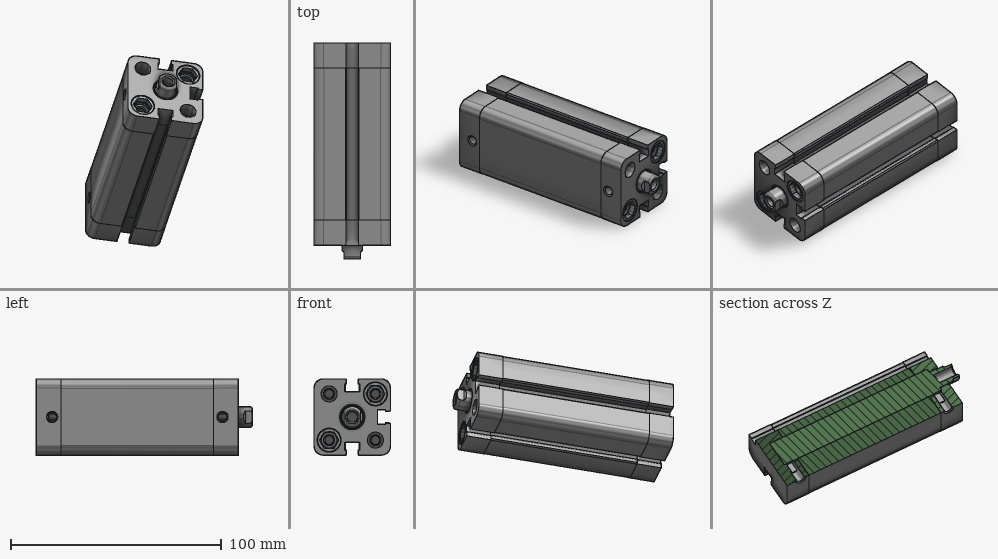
import cadquery as cq
import math

TOTAL_LENGTH = 102.6
WIDTH = 36.3
ROD_PROJECTION = 6.6
CAP_LENGTH = 11.9
CAP_CORNER_RADIUS = 4.4
BARREL_CORNER_RADIUS = 4.7

FRONT_Y = 0.0
BODY_LENGTH = TOTAL_LENGTH - ROD_PROJECTION
REAR_Y = FRONT_Y + BODY_LENGTH
BARREL_FRONT_Y = FRONT_Y + CAP_LENGTH
BARREL_REAR_Y = REAR_Y - CAP_LENGTH
BARREL_LENGTH = BARREL_REAR_Y - BARREL_FRONT_Y

SLOT_DEPTH = 6.2
SLOT_LIP = 2.5
CAP_MOUTH_WIDTH = 6.0
CAP_SLOT_WIDTH = 7.2
BARREL_MOUTH_WIDTH = 5.3
BARREL_SLOT_WIDTH = 6.6
BARREL_MOUTH_CHAMFER = 0.6
SLOT_ANGLES = (0, 90, 180)

HOLE_OFFSET = 11.0
THREAD_DIAMETER = 4.1
THREAD_MOUTH_DIAMETER = 5.2
FIXING_DEPTH = 11.3
PLAIN_HOLE_DIAMETER = 7.6
PLAIN_HOLE_DEPTH = 8.2
POCKET_MOUTH_DIAMETER = 11.4
POCKET_DIAMETER = 10.9
POCKET_DEPTH = 0.3
HEX_ACROSS_FLATS = 7.9
HEX_DEPTH = 2.8
SOCKET_BORE_DIAMETER = 7.5
HEX_RELIEF_DIAMETER = 8.1
SOCKET_BORE_DEPTH = 4.6

PORT_DISTANCE = 7.6
PORT_DIAMETER = 4.1
PORT_MOUTH_DIAMETER = 5.3
PORT_DEPTH = 6.2
PORT_PASSAGE_HEIGHT = 2.8
REAR_PASSAGE_REACH = 1.5

ROD_DIAMETER = 10.0
ROD_TIP_FILLET = 1.2
ROD_FLATS_WIDTH = 8.0
ROD_FLATS_LENGTH = 3.3
ROD_HOLE_DIAMETER = 4.9
ROD_HOLE_MOUTH_DIAMETER = 6.4
ROD_HOLE_DEPTH = 10.3
CORE_DIAMETER = 13.9
CORE_END_GAP = 5.1
CAP_BORE_MOUTH_DIAMETER = 12.0
CAP_BORE_CLEARANCE_DIAMETER = 11.4
CAP_BORE_CLEARANCE_DEPTH = 0.3
CAP_BORE_GAP_DIAMETER = 10.5
CAP_BORE_GAP_DEPTH = 0.8


def y_cylinder(diameter, start, end, x=0.0, z=0.0):
    """Cylinder along Y between two Y positions."""
    return cq.Workplane("XZ", origin=(x, start, z)).circle(diameter / 2).extrude(start - end)


def y_cone(start_diameter, end_diameter, start, x=0.0, z=0.0):
    """45 degree cone narrowing towards +Y from its larger end."""
    length = (start_diameter - end_diameter) / 2
    return cq.Workplane(
        cq.Solid.makeCone(
            start_diameter / 2, end_diameter / 2, length, cq.Vector(x, start, z), cq.Vector(0, 1, 0)
        )
    )


def square_block(start, length, corner_radius):
    """Rounded square prism along Y."""
    block = cq.Workplane("XY").box(WIDTH, length, WIDTH).edges("|Y").fillet(corner_radius)
    return block.translate((0, start + length / 2, 0))


def cut_t_slots(body, start, length, mouth_width, slot_width, mouth_chamfer):
    """Cut a T-slot into the top, bottom and +X sides."""
    surface = WIDTH / 2
    mouth = mouth_width / 2
    inner = slot_width / 2
    half_outline = [
        (mouth + mouth_chamfer, surface),
        (mouth, surface - mouth_chamfer),
        (mouth, surface - SLOT_LIP),
        (inner, surface - SLOT_LIP),
        (inner, surface - SLOT_DEPTH),
    ]
    if mouth_chamfer == 0:
        half_outline = half_outline[1:]
    mirrored = [(-x, z) for x, z in reversed(half_outline)]
    slot = cq.Workplane("XZ", origin=(0, start, 0)).polyline(half_outline + mirrored).close().extrude(-length)
    for angle in SLOT_ANGLES:
        body = body.cut(slot.rotate((0, 0, 0), (0, 1, 0), angle))
    return body


def cap_blank(start):
    blank = square_block(start, CAP_LENGTH, CAP_CORNER_RADIUS)
    return cut_t_slots(blank, start, CAP_LENGTH, CAP_MOUTH_WIDTH, CAP_SLOT_WIDTH, 0)


def cut_port(cap, y, passage_rear_reach):
    """Blind port in the -X side, with a low passage from its floor to the core."""
    side = -WIDTH / 2
    port_plane = cq.Workplane("YZ", origin=(side, y, 0))
    chamfer = (PORT_MOUTH_DIAMETER - PORT_DIAMETER) / 2
    mouth = cq.Solid.makeCone(
        PORT_MOUTH_DIAMETER / 2, PORT_DIAMETER / 2, chamfer, cq.Vector(side, y, 0), cq.Vector(1, 0, 0)
    )
    port = port_plane.circle(PORT_DIAMETER / 2).extrude(PORT_DEPTH)
    front_reach = PORT_DIAMETER / 2
    passage = (
        port_plane.center((passage_rear_reach - front_reach) / 2, 0)
        .rect(front_reach + passage_rear_reach, PORT_PASSAGE_HEIGHT)
        .extrude(-side)
    )
    passage = passage.intersect(port_plane.circle(PORT_DIAMETER / 2).extrude(-side))
    return cap.cut(cq.Workplane(mouth)).cut(port).cut(passage)


def threaded_hole(start, x, z):
    mouth = y_cone(THREAD_MOUTH_DIAMETER, THREAD_DIAMETER, start, x, z)
    return mouth.union(y_cylinder(THREAD_DIAMETER, start, FRONT_Y + FIXING_DEPTH, x, z))


def plain_fixing_hole(x, z):
    """Counterbored threaded hole."""
    floor = FRONT_Y + PLAIN_HOLE_DEPTH
    counterbore = y_cylinder(PLAIN_HOLE_DIAMETER, FRONT_Y, floor, x, z)
    return counterbore.union(threaded_hole(floor, x, z))


def socket_fixing_hole(x, z):
    """Chamfered pocket, hexagon socket, round bore and threaded hole, one behind the other."""
    pocket_floor = FRONT_Y + POCKET_DEPTH
    bore_floor = FRONT_Y + SOCKET_BORE_DEPTH
    corner_diameter = HEX_ACROSS_FLATS / math.cos(math.pi / 6)
    hexagon = (
        cq.Workplane("XZ", origin=(x, pocket_floor, z)).polygon(6, corner_diameter).extrude(-HEX_DEPTH)
    )
    return (
        y_cone(POCKET_MOUTH_DIAMETER, POCKET_DIAMETER, FRONT_Y, x, z)
        .union(y_cylinder(POCKET_DIAMETER, FRONT_Y, pocket_floor, x, z))
        .union(hexagon)
        .union(y_cylinder(HEX_RELIEF_DIAMETER, pocket_floor, pocket_floor + HEX_DEPTH, x, z))
        .union(y_cylinder(SOCKET_BORE_DIAMETER, pocket_floor, bore_floor, x, z))
        .union(threaded_hole(bore_floor, x, z))
    )


def core_cylinder():
    return y_cylinder(CORE_DIAMETER, FRONT_Y + CORE_END_GAP, REAR_Y - CORE_END_GAP)


def make_front_cap():
    cap = cut_port(cap_blank(FRONT_Y), FRONT_Y + PORT_DISTANCE, PORT_DIAMETER / 2)
    for side in (-1, 1):
        offset = side * HOLE_OFFSET
        cap = cap.cut(plain_fixing_hole(offset, -offset))
        cap = cap.cut(socket_fixing_hole(offset, offset))
    gap_end = FRONT_Y + CAP_BORE_GAP_DEPTH
    clearance_end = FRONT_Y + CAP_BORE_CLEARANCE_DEPTH
    return (
        cap.cut(y_cone(CAP_BORE_MOUTH_DIAMETER, CAP_BORE_CLEARANCE_DIAMETER, FRONT_Y))
        .cut(y_cylinder(CAP_BORE_CLEARANCE_DIAMETER, FRONT_Y, clearance_end))
        .cut(y_cylinder(CAP_BORE_GAP_DIAMETER, FRONT_Y, gap_end))
        .cut(y_cylinder(ROD_DIAMETER, FRONT_Y, BARREL_FRONT_Y))
        .cut(core_cylinder())
    )


def make_rear_cap():
    cap = cut_port(cap_blank(BARREL_REAR_Y), REAR_Y - PORT_DISTANCE, REAR_PASSAGE_REACH)
    return cap.cut(core_cylinder())


def make_barrel():
    barrel = square_block(BARREL_FRONT_Y, BARREL_LENGTH, BARREL_CORNER_RADIUS)
    barrel = cut_t_slots(
        barrel, BARREL_FRONT_Y, BARREL_LENGTH, BARREL_MOUTH_WIDTH, BARREL_SLOT_WIDTH, BARREL_MOUTH_CHAMFER
    )
    return barrel.cut(core_cylinder())


def make_rod():
    """Rod with a rounded, drilled tip and two wrench flats, carried by a thicker core."""
    tip = FRONT_Y - ROD_PROJECTION
    rod = y_cylinder(ROD_DIAMETER, tip, FRONT_Y + CORE_END_GAP).faces("<Y").edges().fillet(ROD_TIP_FILLET)
    flats_end = tip + ROD_FLATS_LENGTH
    flat = ROD_FLATS_WIDTH / 2
    depth = ROD_DIAMETER / 2 - flat
    flat_cutter = (
        cq.Workplane("XY")
        .polyline([(flat, tip), (flat, flats_end), (flat + depth, flats_end + depth), (flat + depth, tip)])
        .close()
        .extrude(ROD_DIAMETER / 2, both=True)
    )
    rod = rod.cut(flat_cutter).cut(flat_cutter.mirror("YZ"))
    rod = rod.cut(y_cone(ROD_HOLE_MOUTH_DIAMETER, ROD_HOLE_DIAMETER, tip))
    rod = rod.cut(y_cylinder(ROD_HOLE_DIAMETER, tip, tip + ROD_HOLE_DEPTH))
    return rod.union(core_cylinder())


front_cap = make_front_cap()
barrel = make_barrel()
rear_cap = make_rear_cap()
rod = make_rod()

result = cq.Compound.makeCompound([front_cap.val(), barrel.val(), rear_cap.val(), rod.val()])